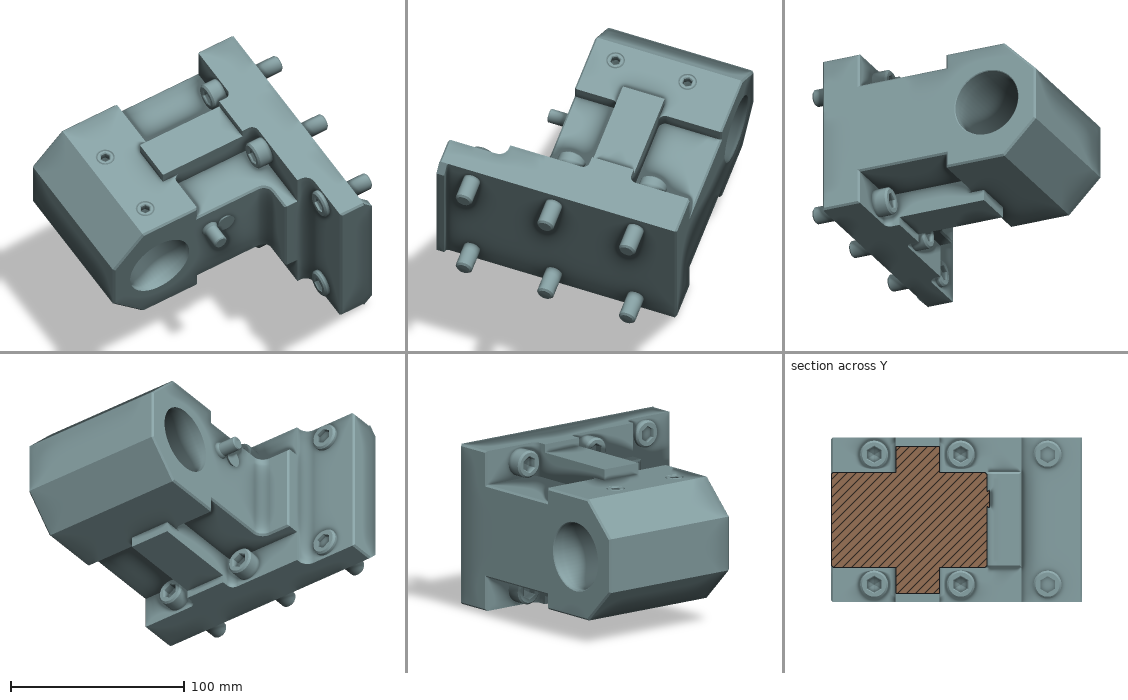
import cadquery as cq
import math

plate_length = 145.0
plate_height = 95.0
edge_chamfer = 1.0

back_y = 135.9
plate_front_y = 112.2
thin_front_y = 120.1
flange_front_y = 104.0
block_back_y = 57.0
rib_front_y = 50.2

rib_left_x = 37.2
rib_right_x = 62.8
block_right_x = 90.0
flange_right_x = 110.0

web_height = 55.0
block_height = 72.0
rib_height = 85.1

step_fillet = 6.0
pocket_fillet = 4.0

nose_bevel = 20.0
bore_diameter = 40.0
bore_chamfer = 0.5
bore_y = 31.2

lip_width = 4.7
lip_depth = 5.3
lip_relief = 0.8

screw_z = 37.5
long_screw_xs = (25.0, 75.0)
short_screw_x = 125.1
shank_diameter = 10.0
head_diameter = 16.1
screw_chamfer = 1.0
long_head_y = 102.9
long_tip_y = 152.0
short_head_y = 117.0
short_tip_y = 151.1
long_socket_flats = 8.0
short_socket_flats = 8.4
head_socket_depth = 5.0
short_socket_depth = 2.7
head_mouth_chamfer = 0.5

set_screw_xs = (30.0, 74.0)
set_groove_outer = 11.0
set_groove_inner = 9.0
set_socket_flats = 5.0
set_socket_depth = 4.0
set_mouth_chamfer = 0.53

nozzle_y = 65.0
nozzle_z = 12.0
nozzle_diameter = 8.0
nozzle_end_x = 102.6
nozzle_chamfer = 0.6
ball_radius = 5.3
ball_inset = 1.5
plug_y = 75.2
plug_base_diameter = 8.8
plug_rim_diameter = 11.1
plug_length = 1.7

mouth_taper = 45
point_taper = 60
point_fraction = 0.97


def box(x_range, y_range, height):
    """Block spanning the X and Y ranges, centred on Z = 0."""
    x0, x1 = x_range
    y0, y1 = y_range
    return (
        cq.Workplane("XY")
        .box(x1 - x0, y1 - y0, height)
        .translate(((x0 + x1) / 2, (y0 + y1) / 2, 0))
    )


def edges_at(body, x, y):
    """Vertical edges of the body that stand at one XY position."""
    reach = 0.2
    span = plate_height
    near = cq.selectors.BoxSelector((x - reach, y - reach, -span), (x + reach, y + reach, span))
    return body.edges("|Z").edges(near)


def make_plate():
    """Stepped plate with the boss that closes the gap between the screw pockets."""
    plate = box((0, flange_right_x), (plate_front_y, back_y), plate_height)
    plate = plate.union(box((0, plate_length), (thin_front_y, back_y), plate_height))
    plate = edges_at(plate, flange_right_x, thin_front_y).fillet(step_fillet)
    boss = box((rib_left_x, rib_right_x), (flange_front_y, back_y), plate_height)
    return plate.union(boss)


def make_web():
    """Web joining the plate to the block, with the flange on its right side."""
    web = box((0, block_right_x), (bore_y, back_y), web_height)
    web = web.union(box((0, flange_right_x), (flange_front_y, thin_front_y), web_height))
    return edges_at(web, block_right_x, flange_front_y).fillet(step_fillet)


def make_block():
    """Block at the front, with both nose edges bevelled."""
    block = box((0, block_right_x), (0, block_back_y), block_height)
    return block.faces("<Y").edges("|X").chamfer(nose_bevel)


def make_rib():
    """Central rib standing proud of the web and overlapping the block."""
    return box((rib_left_x, rib_right_x), (rib_front_y, back_y), rib_height)


def fillet_pockets(body):
    """Round the vertical inside corners of the screw pockets beside the rib."""
    for x in (rib_left_x, rib_right_x):
        for y in (block_back_y, plate_front_y):
            body = edges_at(body, x, y).fillet(pocket_fillet)
    return body


def matches(value, position):
    """True when a coordinate lies at a position within a small tolerance."""
    return abs(value - position) < 0.02


def on_right_contour(edge):
    """True for edges of the block's right face, of the web fillet and of the flange front."""
    bounds = edge.BoundingBox()
    on_fillet = edge.geomType() == "CIRCLE" and matches(bounds.ymax, flange_front_y)
    on_side = matches(bounds.xmin, block_right_x) and matches(bounds.xmax, block_right_x)
    on_front = matches(bounds.ymin, flange_front_y) and matches(bounds.ymax, flange_front_y)
    on_flange = on_front and bounds.xmin > block_right_x
    starts_fillet = matches(bounds.ymin, flange_front_y - step_fillet) and matches(bounds.ymin, bounds.ymax)
    ends_fillet = matches(bounds.xmin, block_right_x + step_fillet) and matches(bounds.xmin, bounds.xmax)
    return (on_fillet or on_side or on_flange) and not (starts_fillet or ends_fillet)


def make_body():
    """Plate, web, block and rib as one body with its edges broken and the bore cut."""
    plate = make_plate()
    plate = plate.faces(">X").edges("|Y or (|Z and <Y)").chamfer(edge_chamfer)
    body = plate.union(make_web()).union(make_block())
    body = body.edges().filter(on_right_contour).chamfer(edge_chamfer)
    body = body.faces("<X").edges().chamfer(edge_chamfer)
    body = fillet_pockets(body.union(make_rib()))
    bore = cq.Workplane("YZ").center(bore_y, 0).circle(bore_diameter / 2).extrude(block_right_x)
    body = body.cut(bore)
    return body.faces("<X").edges("%CIRCLE").chamfer(bore_chamfer)


def make_lip():
    """Key lip with 45 degree ends and a small relief slope at its foot."""
    half = plate_height / 2
    lip_left_x = plate_length - lip_width
    lip_back_y = back_y + lip_depth
    section = (
        cq.Workplane("XY", origin=(0, 0, -half))
        .moveTo(lip_left_x - lip_relief, back_y)
        .lineTo(lip_left_x, back_y + lip_relief)
        .lineTo(lip_left_x, lip_back_y)
        .lineTo(plate_length, lip_back_y)
        .lineTo(plate_length, back_y)
        .close()
        .extrude(plate_height)
    )
    sloped_ends = (
        cq.Workplane("YZ")
        .moveTo(back_y, -half)
        .lineTo(back_y, half)
        .lineTo(lip_back_y, half - lip_depth)
        .lineTo(lip_back_y, -half + lip_depth)
        .close()
        .extrude(plate_length)
    )
    return section.intersect(sloped_ends)


def hex_prism(flats, depth, taper=0):
    """Hexagonal prism running down from Z = 0, with two of its corners along Y."""
    corners = flats / math.cos(math.pi / 6)
    prism = cq.Workplane("XY").polygon(6, corners).extrude(-depth, taper=taper)
    return prism.rotate((0, 0, 0), (0, 0, 1), 90)


def hex_socket(flats, depth, mouth_chamfer):
    """Socket cutter down from Z = 0 with a chamfered mouth and a pointed bottom."""
    point_height = point_fraction * flats / 2 / math.tan(math.radians(point_taper))
    point = hex_prism(flats, point_height, point_taper).translate((0, 0, -depth))
    mouth = hex_prism(flats + 2 * mouth_chamfer, mouth_chamfer, mouth_taper)
    return hex_prism(flats, depth).union(point).union(mouth)


def cap_screw(head_y, seat_y, tip_y, socket):
    """Socket head screw along Y at X = Z = 0, its head facing -Y."""
    length = tip_y - head_y
    head = (
        cq.Workplane("XY")
        .circle(head_diameter / 2)
        .extrude(-(seat_y - head_y))
        .faces(">Z")
        .chamfer(screw_chamfer)
    )
    shank = (
        cq.Workplane("XY")
        .circle(shank_diameter / 2)
        .extrude(-length)
        .faces("<Z")
        .chamfer(screw_chamfer)
    )
    screw = head.union(shank).cut(socket)
    return screw.rotate((0, 0, 0), (1, 0, 0), 90).translate((0, head_y, 0))


def add_screws(body):
    """Upper and lower rows of mounting screws, two long and one short in each."""
    long_socket = hex_socket(long_socket_flats, head_socket_depth, head_mouth_chamfer)
    long_screw = cap_screw(long_head_y, plate_front_y, long_tip_y, long_socket)
    short_socket = hex_prism(short_socket_flats, short_socket_depth)
    short_screw = cap_screw(short_head_y, thin_front_y, short_tip_y, short_socket)
    for z in (screw_z, -screw_z):
        for x in long_screw_xs:
            body = body.union(long_screw.translate((x, 0, z)))
        body = body.union(short_screw.translate((short_screw_x, 0, z)))
    return body


def cut_set_screws(body):
    """V groove around each flush set screw, and the hexagonal socket in its middle."""
    top_z = block_height / 2
    outer = set_groove_outer / 2
    inner = set_groove_inner / 2
    groove = (
        cq.Workplane("XZ")
        .moveTo(inner, 0)
        .lineTo(outer, 0)
        .lineTo((inner + outer) / 2, -(outer - inner) / 2)
        .close()
        .revolve(360, (0, 0, 0), (0, 1, 0))
    )
    cutter = groove.union(hex_socket(set_socket_flats, set_socket_depth, set_mouth_chamfer))
    for x in set_screw_xs:
        body = body.cut(cutter.translate((x, bore_y, top_z)))
    return body


def add_nozzle(body):
    """Coolant nozzle with its ball seat, and the flared plug behind it."""
    tube_radius = nozzle_diameter / 2
    ball_x = block_right_x - ball_inset
    root_x = block_right_x - ball_radius
    meeting_x = ball_x + math.sqrt(ball_radius**2 - tube_radius**2)
    nozzle = (
        cq.Workplane("XY", origin=(0, nozzle_y, nozzle_z))
        .moveTo(root_x, 0)
        .lineTo(root_x, ball_radius)
        .lineTo(ball_x, ball_radius)
        .radiusArc((meeting_x, tube_radius), ball_radius)
        .lineTo(nozzle_end_x - nozzle_chamfer, tube_radius)
        .lineTo(nozzle_end_x, tube_radius - nozzle_chamfer)
        .lineTo(nozzle_end_x, 0)
        .close()
        .revolve(360, (0, 0, 0), (1, 0, 0))
    )
    plug = (
        cq.Workplane("YZ", origin=(block_right_x, plug_y, nozzle_z))
        .circle(plug_base_diameter / 2)
        .workplane(offset=plug_length)
        .circle(plug_rim_diameter / 2)
        .loft()
    )
    return body.union(nozzle.union(plug))


body = make_body().union(make_lip())
body = add_screws(body)
body = cut_set_screws(body)
result = add_nozzle(body)